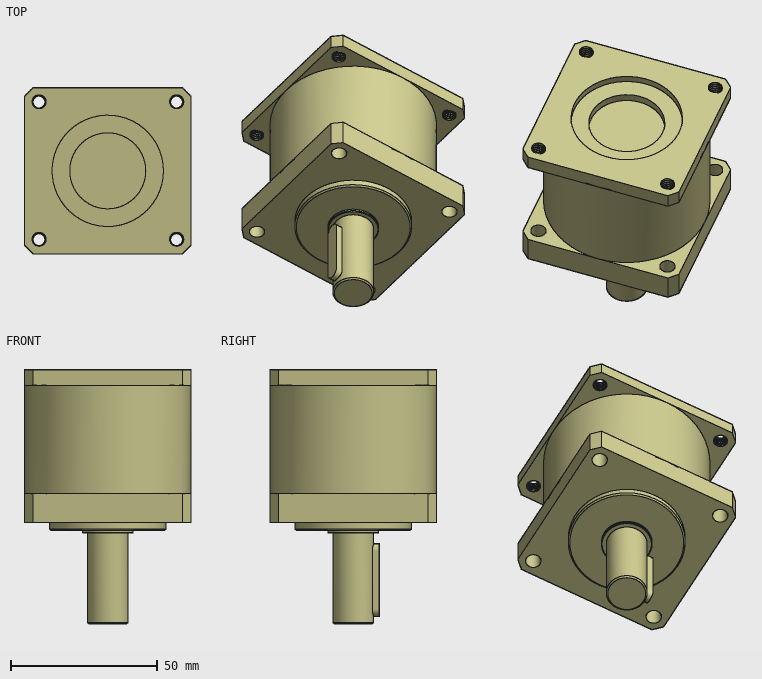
import cadquery as cq
import math

FLANGE_WIDTH = 57.0
FLANGE_CORNER_CUT = 3.0
OUTPUT_FLANGE_HEIGHT = 9.9
BARREL_HEIGHT = 37.0
INPUT_FLANGE_HEIGHT = 5.4
BARREL_TOP = OUTPUT_FLANGE_HEIGHT + BARREL_HEIGHT
HOUSING_TOP = BARREL_TOP + INPUT_FLANGE_HEIGHT

HOLE_SPACING = 47.1
CLEARANCE_HOLE_DIAMETER = 5.2
THREAD_MINOR_DIAMETER = 4.2
THREAD_MAJOR_DIAMETER = 5.0
THREAD_PITCH = 1.0
THREAD_DEPTH = (THREAD_MAJOR_DIAMETER - THREAD_MINOR_DIAMETER) / 2
THREAD_END_ANGLE = 120.0

MOTOR_RECESS_DIAMETER = 38.1
MOTOR_RECESS_DEPTH = 2.6
INNER_RECESS_DIAMETER = 26.0
INNER_RECESS_DEPTH = 3.0

PILOT_DIAMETER = 40.0
PILOT_HEIGHT = 2.7
PILOT_CHAMFER = 0.5

TOTAL_HEIGHT = 87.0
SHAFT_DIAMETER = 14.0
SHAFT_END = HOUSING_TOP - TOTAL_HEIGHT
SHAFT_CHAMFER = 0.5
COLLAR_DIAMETER = 17.4
COLLAR_HEIGHT = 1.0
COLLAR_CHAMFER = 0.3

KEY_WIDTH = 5.0
KEY_HEIGHT = KEY_WIDTH
KEY_LENGTH = 25.0
KEY_TOP_Y = 9.0
KEY_END_OFFSET = 2.5
KEY_FLOOR_Y = KEY_TOP_Y - KEY_HEIGHT
KEY_BOTTOM_Z = SHAFT_END + KEY_END_OFFSET


def cylinder(diameter, bottom, height):
    return cq.Workplane("XY").workplane(offset=bottom).circle(diameter / 2).extrude(height)


def flange(bottom, height):
    return (
        cq.Workplane("XY")
        .workplane(offset=bottom)
        .rect(FLANGE_WIDTH, FLANGE_WIDTH)
        .extrude(height)
        .edges("|Z")
        .chamfer(FLANGE_CORNER_CUT)
    )


def cut_corner_holes(body, hole):
    """Cut a copy of a hole on the Z axis at each corner of the hole square."""
    half_spacing = HOLE_SPACING / 2
    for x in (-half_spacing, half_spacing):
        for y in (-half_spacing, half_spacing):
            body = body.cut(hole.translate((x, y, 0)))
    return body


def make_output_flange():
    clearance_hole = cylinder(CLEARANCE_HOLE_DIAMETER, 0, OUTPUT_FLANGE_HEIGHT)
    return cut_corner_holes(flange(0, OUTPUT_FLANGE_HEIGHT), clearance_hole)


def thread_section_point(half_turn):
    """Section point from groove root (half_turn 0) round either way to thread crest (half_turn 1 or -1)."""
    angle = math.pi * half_turn
    radius = THREAD_MAJOR_DIAMETER / 2 - THREAD_DEPTH * abs(half_turn)
    return radius * math.cos(angle), radius * math.sin(angle)


def threaded_hole():
    """Right-hand V thread as a solid to cut away: a spiral section that turns once per pitch."""
    twist = 360 * INPUT_FLANGE_HEIGHT / THREAD_PITCH
    hole = (
        cq.Workplane("XY")
        .parametricCurve(thread_section_point, start=0, stop=1, makeWire=False)
        .parametricCurve(thread_section_point, start=-1, stop=0, makeWire=False)
        .consolidateWires()
        .twistExtrude(INPUT_FLANGE_HEIGHT, twist)
    )
    return hole.rotate((0, 0, 0), (0, 0, 1), THREAD_END_ANGLE - twist).translate((0, 0, BARREL_TOP))


def make_input_flange():
    return cut_corner_holes(flange(BARREL_TOP, INPUT_FLANGE_HEIGHT), threaded_hole())


def make_pilot():
    pilot = cylinder(PILOT_DIAMETER, -PILOT_HEIGHT, PILOT_HEIGHT)
    return pilot.faces("<Z").edges().chamfer(PILOT_CHAMFER)


def motor_recess():
    step = HOUSING_TOP - MOTOR_RECESS_DEPTH
    outer = cylinder(MOTOR_RECESS_DIAMETER, step, MOTOR_RECESS_DEPTH)
    inner = cylinder(INNER_RECESS_DIAMETER, step - INNER_RECESS_DEPTH, INNER_RECESS_DEPTH)
    return outer.union(inner)


def make_housing():
    barrel = cylinder(FLANGE_WIDTH, OUTPUT_FLANGE_HEIGHT, BARREL_HEIGHT)
    housing = make_output_flange().union(barrel).union(make_input_flange()).union(make_pilot())
    return housing.cut(motor_recess())


def make_key():
    """Round-ended key standing on the keyway floor; the keyway has the same shape."""
    return (
        cq.Workplane("XZ", origin=(0, KEY_FLOOR_Y, KEY_BOTTOM_Z + KEY_LENGTH / 2))
        .slot2D(KEY_LENGTH, KEY_WIDTH, angle=90)
        .extrude(-KEY_HEIGHT)
    )


def make_shaft():
    collar = cylinder(COLLAR_DIAMETER, -PILOT_HEIGHT - COLLAR_HEIGHT, COLLAR_HEIGHT)
    collar = collar.faces("<Z").edges().chamfer(COLLAR_CHAMFER)
    shaft = cylinder(SHAFT_DIAMETER, SHAFT_END, -PILOT_HEIGHT - SHAFT_END)
    shaft = shaft.faces("<Z").edges().chamfer(SHAFT_CHAMFER)
    return shaft.union(collar).cut(make_key())


housing = make_housing()
shaft = make_shaft()
key = make_key()

result = cq.Compound.makeCompound([housing.val(), shaft.val(), key.val()])